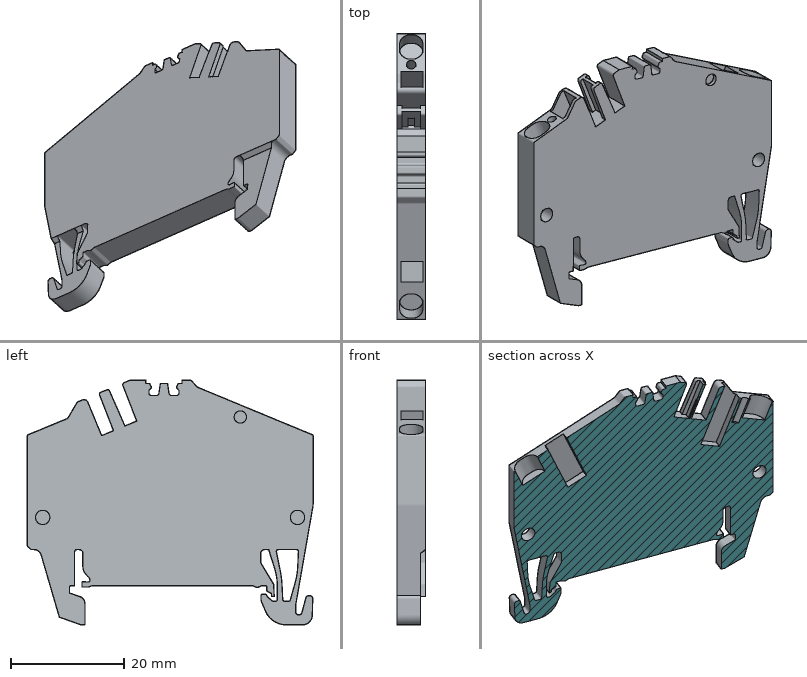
import cadquery as cq
import math


length = 50.5
height = 43.25
thickness = 5.1
mid_x = thickness / 2
margin = 1.0

slope = math.radians(22.5)
shoulder_z = 33.55
end_round = 0.3

crest_height = 2.0
slot_floor_depth = 5.1
crest_level = slot_floor_depth + crest_height
slot_width = 2.2
slot_pitch = 4.45
first_slot = 12.1
ridge_start = 7.75
ridge_top = 10.4
ridge_round = 0.75
rib_round = 0.4
rib_taper = 0.15
block_taper = 0.15
block_round = 0.45
corner_round = 0.25

groove_mid = 26.35
groove_half = 3.2
lip_half = 2.5
nose_half = 2.15
undercut_half = 2.65
tooth_foot_half = 0.95
tooth_tip_half = 0.65
step_z = height - 0.55
nose_z = height - 1.3
undercut_z = height - 1.8
groove_floor_z = 40.55
floor_round = 0.35
shoulder_length = 20.5
top_front = 21.55

body_bottom = 6.9
slot_top = 13.3
side_foot_bottom = 21.15
foot_thickness = 4.2
foot_ramp = 0.6

clip_outer_y = 9.25
clip_arm_y = 6.35
clip_arm_foot = 4.2
clip_hook_top = 5.45
clip_tab_top = 5.2
clip_notch_back = 3.1
clip_notch_floor = 1.8
catch_tip = 5.0
catch_step_y = 7.35
catch_root_y = 8.25

lip_bottom = 6.65
lip_tip_y = 40.85
hook_slot_start = 40.7
hook_slot_end = 42.1
hook_throat_y = 43.05
hook_tip_y = 40.3

wire_from_end = 2.6
wire_size = (4.15, 4.65)
wire_round = 1.85
wire_depth = 3.9
pocket_from_end = 9.15
pocket_side = 3.85
pocket_shift = 0.15
pocket_depth = 10.1
test_hole_from_end = 5.95
test_hole_diameter = 1.6
test_hole_depth = 5.05

recess_width = 3.2
web_start = 0.75
web_end = 1.35
notch_width = 1.2
notch_height = 3.8
notch_depth = 0.2

sockets = [
    (2.8, 19.0, 2.5, 3.05),
    (47.75, 19.0, 2.5, 3.05),
    (12.9, 36.7, 2.15, 0.85),
]


def on_crest(along, up):
    """YZ point given along the +Y shoulder from its end and up from the slot floors."""
    out = up - slot_floor_depth
    y = length - along * math.cos(slope) + out * math.sin(slope)
    z = shoulder_z + along * math.sin(slope) + out * math.cos(slope)
    return y, z


def rounded_wire(corners):
    """Closed YZ outline from (y, z, corner radius) entries; radius 0 keeps a sharp corner."""
    path = []
    for i, (y, z, radius) in enumerate(corners):
        corner = cq.Vector(y, z, 0)
        before = cq.Vector(*corners[i - 1][:2], 0)
        after = cq.Vector(*corners[(i + 1) % len(corners)][:2], 0)
        to_before = (before - corner).normalized()
        to_after = (after - corner).normalized()
        if radius == 0:
            path.append((corner, None, corner))
            continue
        half = to_before.getAngle(to_after) / 2
        setback = radius / math.tan(half)
        bisector = (to_before + to_after).normalized()
        middle = corner + bisector * (radius / math.sin(half) - radius)
        path.append((corner + to_before * setback, middle, corner + to_after * setback))
    sketch = cq.Workplane("YZ").moveTo(path[0][2].x, path[0][2].y)
    for start, middle, end in path[1:] + path[:1]:
        sketch = sketch.lineTo(start.x, start.y)
        if middle is not None:
            sketch = sketch.threePointArc((middle.x, middle.y), (end.x, end.y))
    return sketch.close()


def crest_outline():
    """+Y shoulder, ridge, two tilted slots and the rib between them, up to the top face."""
    slot_2 = first_slot + slot_pitch
    rib_foot = first_slot + slot_width
    block_wall = slot_2 + slot_width
    block_corner = on_crest(block_wall + block_taper, crest_level)
    rise_to_top = (height - block_corner[1]) / math.tan(slope)
    return [
        (length, shoulder_z, end_round),
        (*on_crest(ridge_start, slot_floor_depth), corner_round),
        (*on_crest(ridge_top, crest_level), ridge_round),
        (*on_crest(first_slot, crest_level), ridge_round),
        (*on_crest(first_slot, 0), 0),
        (*on_crest(rib_foot, 0), 0),
        (*on_crest(rib_foot + rib_taper, crest_level), rib_round),
        (*on_crest(slot_2 - rib_taper, crest_level), rib_round),
        (*on_crest(slot_2, 0), 0),
        (*on_crest(block_wall, 0), 0),
        (*block_corner, block_round),
        (block_corner[0] - rise_to_top, height, 0),
    ]


def groove_outline():
    """Marker groove with undercut lips on both sides and a tooth in the middle."""
    back_half = [
        (groove_half, height, 0),
        (groove_half, step_z, 0),
        (lip_half, step_z, corner_round),
        (nose_half, nose_z, corner_round),
        (undercut_half, undercut_z, 0),
        (undercut_half, groove_floor_z, floor_round),
        (tooth_foot_half, groove_floor_z, floor_round),
        (tooth_tip_half, step_z, corner_round),
    ]
    back = [(groove_mid + y, z, r) for y, z, r in back_half]
    front = [(groove_mid - y, z, r) for y, z, r in reversed(back_half)]
    return back + front


def clip_foot_outline():
    """-Y end: sprung foot with its finger notch, and the slot and catch beside it."""
    return [
        (top_front, height, 0.4),
        (shoulder_length, shoulder_z + shoulder_length * math.tan(slope), 0.75),
        (0, shoulder_z, end_round),
        (0, side_foot_bottom, 2.0),
        (clip_notch_back, 3.55, 1.5),
        (clip_notch_back, clip_notch_floor, 0.45),
        (2.1, clip_notch_floor, 0.45),
        (1.2, clip_tab_top, 0.6),
        (0.05, clip_tab_top, 0.6),
        (0.2, 0, 1.75),
        (7.4, 0, 4.05),
        (clip_outer_y, 4.3, 1.0),
        (clip_outer_y, clip_hook_top, 0.3),
        (8.35, clip_hook_top, 0.3),
        (8.0, 4.85, 0.4),
        (7.1, clip_arm_foot, 0.2),
        (clip_arm_y, clip_arm_foot, 0.3),
        (clip_arm_y, 8.5, 10.1),
        (7.9, slot_top, 0.2),
        (clip_outer_y, slot_top, 0.6),
        (clip_outer_y, 10.95, 0.25),
        (6.95, 7.15, 0.3),
        (6.85, catch_tip, 0.1),
        (catch_step_y, catch_tip, 0.15),
        (catch_step_y, 5.5, 0.15),
        (catch_root_y, 6.0, 0.1),
        (catch_root_y, body_bottom, 0.15),
        (9.1, body_bottom, 0.25),
        (9.9, 6.55, 0.5),
        (10.7, body_bottom, 0.25),
    ]


def fixed_foot_outline():
    """+Y end: catch lip, slot and rigid hooked foot."""
    return [
        (39.0, body_bottom, 0.25),
        (39.75, lip_bottom, 0.25),
        (lip_tip_y, lip_bottom, 0.2),
        (lip_tip_y, 7.7, 0.2),
        (39.35, 7.6, 0.3),
        (39.55, 8.3, 0.15),
        (hook_slot_start, 9.55, 2.0),
        (hook_slot_start, slot_top, 0.6),
        (hook_slot_end, slot_top, 0.35),
        (hook_slot_end, body_bottom, 0.1),
        (hook_throat_y, body_bottom, 0.2),
        (hook_throat_y, 5.65, 0.15),
        (hook_tip_y, 4.7, 1.3),
        (hook_tip_y, 0, 0.15),
        (41.0, 0, 0.15),
        (44.85, 1.35, 0.15),
        (48.35, slot_top, 1.25),
        (length - 0.7, slot_top, 0.25),
        (length, 13.9, 0.25),
    ]


def housing():
    """Full-thickness plate with the complete outline and the window in the clip foot."""
    corners = crest_outline() + groove_outline() + clip_foot_outline() + fixed_foot_outline()
    window = [
        (6.55, slot_top, 0.3),
        (5.55, 8.35, 15.15),
        (5.35, clip_arm_foot, 0.3),
        (4.15, clip_arm_foot, 0.25),
        (2.85, 8.85, 12.6),
        (2.65, slot_top, 0.3),
    ]
    plate = rounded_wire(corners).extrude(thickness)
    return plate.cut(rounded_wire(window).extrude(thickness))


def foot_relief(slot_y, end_y, gap):
    """Cutter thinning one foot on its +X side.

    It spans from the slot to beyond the end; gap is the YZ path, down from the slot,
    that separates the foot from the body.
    """
    ramp_foot = slot_top - foot_ramp
    path = [(end_y, ramp_foot), (slot_y, ramp_foot)] + gap
    path += [(gap[-1][0], -margin), (end_y, -margin)]
    depth = thickness - foot_thickness
    lower = cq.Workplane("YZ").workplane(offset=foot_thickness).polyline(path).close().extrude(depth)
    ramp = (
        cq.Workplane("XZ", origin=(0, end_y, 0))
        .polyline([(foot_thickness, ramp_foot), (thickness, ramp_foot), (thickness, slot_top)])
        .close()
        .extrude(end_y - slot_y)
    )
    return lower.union(ramp)


def shoulder_plane(from_end, clip_end):
    """Plane on a shoulder, facing outwards; its local x is the part's X axis."""
    y = from_end * math.cos(slope)
    z = shoulder_z + from_end * math.sin(slope)
    tilt = -math.sin(slope)
    if not clip_end:
        y = length - y
        tilt = -tilt
    return cq.Workplane(cq.Plane((mid_x, y, z), (1, 0, 0), (0, tilt, math.cos(slope))))


def square_pocket(clip_end):
    """Screwdriver pocket, started above the surface so that it also clears the ridge."""
    above = crest_height + margin
    return (
        shoulder_plane(pocket_from_end, clip_end)
        .workplane(offset=above)
        .center(pocket_shift, 0)
        .rect(pocket_side, pocket_side)
        .extrude(-pocket_depth - above)
    )


def wire_entry(clip_end):
    """Round-cornered wire opening, square to the shoulder."""
    width, run = wire_size
    opening = cq.Sketch().rect(width, run).vertices().fillet(wire_round)
    plane = shoulder_plane(wire_from_end, clip_end)
    return plane.workplane(offset=margin).placeSketch(opening).extrude(-wire_depth - margin)


def rib_block(start, end, low, high, width):
    """Block across the middle of the rib; start and end are along, low and high above the floors."""
    section = [on_crest(start, low), on_crest(end, low), on_crest(end, high), on_crest(start, high)]
    first_x = mid_x - width / 2
    return cq.Workplane("YZ").workplane(offset=first_x).polyline(section).close().extrude(width)


def rib_recesses():
    """Recesses leaving a thin web in the rib, plus a shallow notch in the web."""
    rib_start = first_slot + slot_width
    rib_end = first_slot + slot_pitch
    top = crest_level + margin
    back = rib_block(rib_start, rib_start + web_start, 0, top, recess_width)
    front = rib_block(rib_start + web_end, rib_end, 0, top, recess_width)
    notch = rib_block(rib_start + web_end - notch_depth, rib_end, 0, notch_height, notch_width)
    return back.union(front).union(notch)


clip_slot_y = 8.6
hook_slot_y = 41.4
clip_gap = [
    (clip_slot_y, 11.25), (6.6, 7.3), (6.6, 4.6), (7.25, 4.7), (7.7, 5.2), (8.4, 5.75), (9.6, 5.85),
]
hook_gap = [(hook_slot_y, 6.3), (38.4, 6.3)]

result = housing()
result = result.cut(foot_relief(clip_slot_y, -margin, clip_gap))
result = result.cut(foot_relief(hook_slot_y, length + margin, hook_gap))

for clip_end in (True, False):
    result = result.cut(square_pocket(clip_end)).cut(wire_entry(clip_end))

test_hole = shoulder_plane(test_hole_from_end, False).circle(test_hole_diameter / 2)
result = result.cut(test_hole.extrude(-test_hole_depth))

result = result.cut(rib_recesses())

for y, z, diameter, depth in sockets:
    result = result.cut(cq.Workplane("YZ").center(y, z).circle(diameter / 2).extrude(depth))